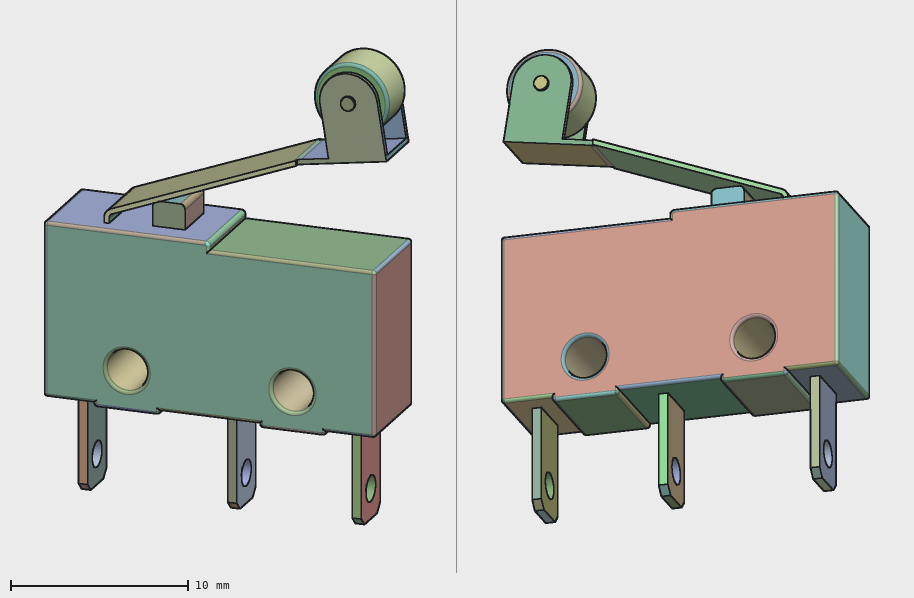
import cadquery as cq
import math


body_length = 20.0
body_width = 6.0
body_height = 10.5
step_drop = 0.5
step_x = body_length / 2
edge_round = 0.2
step_round = 0.28
pad_length = 4.0
pad_height = 0.25
pad_round = 0.22

hole_spacing = body_length / 2
hole_centers_x = (body_length / 2 - hole_spacing / 2, body_length / 2 + hole_spacing / 2)
hole_z = 2.2
hole_diameter = 2.46

terminal_centers_x = (1.83, 10.83, 18.33)
terminal_thickness = 0.55
terminal_width = 3.05
terminal_length = 6.0
terminal_chamfer = 0.5
terminal_hole_diameter = 1.55
terminal_hole_rise = 1.83

plunger_center_x = 7.0
plunger_length = 1.95
plunger_width = 3.05
plunger_rise = 1.52
plunger_round = 0.3

roller_x = 17.95
roller_z = 19.45
roller_radius = 2.25
roller_width = 2.85
roller_round = 0.2
pin_diameter = 0.83

strip = 0.3
lever_width = 4.0
tail_width = 3.6
heel_x = 3.27
heel_corner_z = 11.21
bend_x = 14.85
heel_radius = 0.6
bend_radius = 2.0
tail_angle = math.radians(9)
ear_radius = 1.75
ear_depth = 3.55

along = (math.cos(tail_angle), math.sin(tail_angle))
up = (-math.sin(tail_angle), math.cos(tail_angle))


def from_roller(along_tail, above):
    """Point in XZ measured from the roller axis in the tail's own directions."""
    x = roller_x + along_tail * along[0] + above * up[0]
    z = roller_z + along_tail * along[1] + above * up[1]
    return (x, z)


def extrude_across(outline, width):
    """Extrude a closed XZ outline symmetrically across the housing."""
    return outline.extrude(width).translate((0, width / 2, 0))


def cylinder_across(x, z, diameter, width):
    return extrude_across(cq.Workplane("XZ").center(x, z).circle(diameter / 2), width)


def edges_across(solid, corners):
    """Select the edges running across the housing at the given XZ corners."""
    selection = solid.newObject([])
    for x, z in corners:
        selection = selection.add(solid.edges(cq.selectors.NearestToPointSelector((x, 0, z))))
    return selection


def make_housing():
    step_z = body_height - step_drop
    end_corners = [(0, body_height), (0, 0), (body_length, 0), (body_length, step_z)]
    pad_corners = []
    points = [(0, body_height), (0, 0)]
    for x in hole_centers_x:
        left, right = x - pad_length / 2, x + pad_length / 2
        points += [(left, 0), (left, -pad_height), (right, -pad_height), (right, 0)]
        pad_corners += [(left, -pad_height), (right, -pad_height)]
    points += [(body_length, 0), (body_length, step_z), (step_x, step_z), (step_x, body_height)]

    housing = extrude_across(cq.Workplane("XZ").polyline(points).close(), body_width)
    housing = edges_across(housing, [(step_x, body_height)]).fillet(step_round)
    housing = edges_across(housing, pad_corners).fillet(pad_round)
    side_outlines = housing.faces("<Y or >Y").edges()
    housing = side_outlines.add(edges_across(housing, end_corners)).fillet(edge_round)

    for x in hole_centers_x:
        housing = housing.cut(cylinder_across(x, hole_z, hole_diameter, body_width))
        for y in (-body_width / 2, body_width / 2):
            rim = housing.edges(cq.selectors.NearestToPointSelector((x, y, hole_z)))
            housing = rim.fillet(edge_round)
    return housing


def make_terminal(center_x):
    blade = (
        cq.Workplane("XY")
        .box(terminal_thickness, terminal_width, terminal_length + edge_round)
        .edges("|X and <Z")
        .chamfer(terminal_chamfer)
        .translate((center_x, 0, (edge_round - terminal_length) / 2))
    )
    eye = (
        cq.Workplane("YZ")
        .center(0, terminal_hole_rise - terminal_length)
        .circle(terminal_hole_diameter / 2)
        .extrude(body_length)
    )
    return blade.cut(eye)


def make_plunger():
    return (
        cq.Workplane("XY", origin=(plunger_center_x, 0, body_height))
        .rect(plunger_length, plunger_width)
        .extrude(plunger_rise)
        .edges("|Y and >Z")
        .fillet(plunger_round)
    )


def make_lever():
    tail_end = from_roller(ear_radius, strip - ear_depth)
    tail_end_low = from_roller(ear_radius, -ear_depth)
    bend_z = tail_end[1] - (tail_end[0] - bend_x) * math.tan(tail_angle)
    arm_angle = math.atan2(bend_z - heel_corner_z, bend_x - heel_x)

    half_turn = (arm_angle - tail_angle) / 2
    mid_angle = (arm_angle + tail_angle) / 2
    miter = strip / math.cos(half_turn)
    bend_low = (bend_x + miter * math.sin(mid_angle), bend_z - miter * math.cos(mid_angle))
    heel_low_x = heel_x + strip
    heel_low_z = bend_low[1] - (bend_low[0] - heel_low_x) * math.tan(arm_angle)

    outline = cq.Workplane("XZ").polyline([
        (heel_x, body_height),
        (heel_x, heel_corner_z),
        (bend_x, bend_z),
        tail_end,
        tail_end_low,
        bend_low,
        (heel_low_x, heel_low_z),
        (heel_low_x, body_height),
    ]).close()
    lever = extrude_across(outline, lever_width)
    corners = [
        (heel_x, heel_corner_z, heel_radius),
        (heel_low_x, heel_low_z, heel_radius - strip),
        (bend_x, bend_z, bend_radius),
        (bend_low[0], bend_low[1], bend_radius - strip),
    ]
    for x, z, radius in corners:
        lever = edges_across(lever, [(x, z)]).fillet(radius)

    trim_width = (lever_width - tail_width) / 2
    for side in (-1, 1):
        trim = cq.Workplane("XY").box(body_length, trim_width, body_length)
        trim = trim.translate((bend_x + body_length / 2, side * (tail_width + trim_width) / 2, roller_z))
        lever = lever.cut(trim)
    return lever


def make_ears():
    outline = (
        cq.Workplane("XZ")
        .moveTo(*from_roller(-ear_radius, -ear_depth))
        .lineTo(*from_roller(-ear_radius, 0))
        .threePointArc(from_roller(0, ear_radius), from_roller(ear_radius, 0))
        .lineTo(*from_roller(ear_radius, -ear_depth))
        .close()
    )
    gap = cylinder_across(roller_x, roller_z, 4 * ear_depth, tail_width - 2 * strip)
    return extrude_across(outline, tail_width).cut(gap)


def make_roller():
    roller = cylinder_across(roller_x, roller_z, 2 * roller_radius, roller_width)
    roller = roller.edges().fillet(roller_round)
    return roller.union(cylinder_across(roller_x, roller_z, pin_diameter, lever_width))


result = make_housing()
for terminal_x in terminal_centers_x:
    result = result.union(make_terminal(terminal_x))
for piece in (make_plunger(), make_lever(), make_ears(), make_roller()):
    result = result.union(piece)